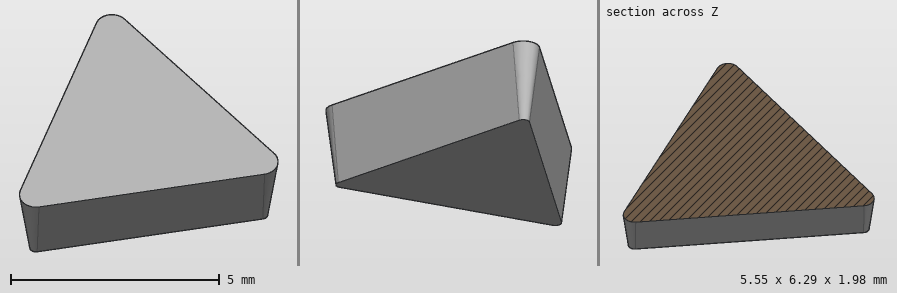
import cadquery as cq
import math

top_width = 6.29
thickness = 1.98
corner_radius = 0.395
clearance_angle = 7.0

center_spacing = top_width - 2 * corner_radius
center_circle_radius = center_spacing / math.sqrt(3)
corner_angles = [math.radians(angle) for angle in (0, 120, 240)]
corner_centers = [
    (center_circle_radius * math.cos(angle), center_circle_radius * math.sin(angle))
    for angle in corner_angles
]

result = (
    cq.Workplane("XY", origin=(0, 0, thickness))
    .polyline(corner_centers)
    .close()
    .offset2D(corner_radius, "arc")
    .extrude(-thickness, taper=clearance_angle)
)